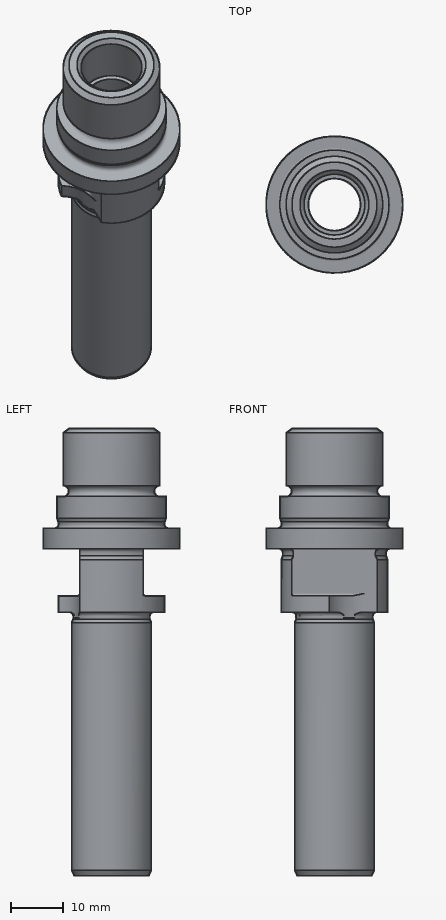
import cadquery as cq
import math

total_length = 85
neck_top = 74.1
collar_top = 72.1
collar_bottom = 67.9
flange_top = 66.05
flange_bottom = 62.1
body_top = 60.1
body_bottom = 50.1
shaft_top = 48.1

head_radius = 9.2
neck_radius = 8.2
neck_foot_radius = 9.0
collar_radius = 10.4
flange_radius = 13.0
body_radius = 10.1
shaft_radius = 7.6

end_chamfer_height = 1.0
end_chamfer_depth = 0.5
head_chamfer_height = 0.85
head_chamfer_depth = 1.1

undercut_depth = 0.25
undercut_fillet = 0.7
undercut_ramp = 0.7

bore_radius = 4.9
counterbore_radius = 5.8
counterbore_depth = 10.2
bore_chamfer = 0.8

flat_distance = 6.0
lip_top = 53.2
lip_fillet = 0.4
runout_start = 5.5
runout_radius = 7.2
runout_bottom = 49.05
cutter_reach = 2 * flange_radius


def add_undercut(outline, shoulder, land_level, land_radius):
    """Draw an undercut from the shoulder face down to the land below it."""
    floor_radius = land_radius - undercut_depth
    fillet_end = shoulder - undercut_fillet
    fillet_inset = undercut_fillet * (1 - math.sqrt(0.5))
    return (
        outline.lineTo(floor_radius + undercut_fillet, shoulder)
        .threePointArc(
            (floor_radius + fillet_inset, shoulder - fillet_inset),
            (floor_radius, fillet_end),
        )
        .lineTo(floor_radius, land_level + undercut_ramp)
        .lineTo(land_radius, land_level)
    )


def add_rising_undercut(outline, land_level, shoulder, land_radius):
    """Draw an undercut from the land down to the shoulder face below it."""
    floor_radius = land_radius - undercut_depth
    fillet_inset = undercut_fillet * (1 - math.sqrt(0.5))
    return (
        outline.lineTo(floor_radius, land_level - undercut_ramp)
        .lineTo(floor_radius, shoulder + undercut_fillet)
        .threePointArc(
            (floor_radius + fillet_inset, shoulder + fillet_inset),
            (floor_radius + undercut_fillet, shoulder),
        )
    )


def make_turned_body():
    """Revolve the outer profile, drawn from the top end to the bottom end."""
    neck_middle = (neck_top + collar_top) / 2
    outline = (
        cq.Workplane("XZ")
        .moveTo(0, total_length)
        .lineTo(head_radius - head_chamfer_depth, total_length)
        .lineTo(head_radius, total_length - head_chamfer_height)
        .lineTo(head_radius, neck_top)
        .threePointArc((neck_radius, neck_middle), (neck_foot_radius, collar_top))
        .lineTo(collar_radius, collar_top)
        .lineTo(collar_radius, collar_bottom)
    )
    outline = add_rising_undercut(outline, collar_bottom, flange_top, collar_radius)
    outline = outline.lineTo(flange_radius, flange_top).lineTo(flange_radius, flange_bottom)
    outline = add_undercut(outline, flange_bottom, body_top, body_radius)
    outline = outline.lineTo(body_radius, body_bottom)
    outline = add_undercut(outline, body_bottom, shaft_top, shaft_radius)
    outline = (
        outline.lineTo(shaft_radius, end_chamfer_height)
        .lineTo(shaft_radius - end_chamfer_depth, 0)
        .lineTo(0, 0)
        .close()
    )
    return outline.revolve(360, (0, 0), (0, 1))


def make_bore():
    """Through bore with a chamfered counterbore at the head."""
    counterbore_floor = total_length - counterbore_depth
    outline = (
        cq.Workplane("XZ")
        .lineTo(bore_radius, 0)
        .lineTo(bore_radius, counterbore_floor)
        .lineTo(counterbore_radius, counterbore_floor)
        .lineTo(counterbore_radius, total_length - bore_chamfer)
        .lineTo(counterbore_radius + bore_chamfer, total_length)
        .lineTo(0, total_length)
        .close()
    )
    return outline.revolve(360, (0, 0), (0, 1))


def make_flat_cutter():
    """Flat on the -Y side and the round runout that ends the lip below it."""
    flat = (
        cq.Workplane("XY")
        .workplane(offset=lip_top)
        .center(0, -flat_distance - cutter_reach / 2)
        .rect(2 * cutter_reach, cutter_reach)
        .extrude(flange_bottom - lip_top)
        .faces("<Z")
        .edges(">Y")
        .fillet(lip_fillet)
    )
    runout_height = flange_bottom - runout_bottom
    mill = (
        cq.Workplane("XY")
        .workplane(offset=runout_bottom)
        .center(runout_start, -flat_distance - runout_radius)
        .circle(runout_radius)
        .extrude(runout_height)
    )
    mill_path = (
        cq.Workplane("XY")
        .workplane(offset=runout_bottom)
        .center(runout_start + cutter_reach / 2, -flat_distance - runout_radius)
        .rect(cutter_reach, 2 * runout_radius)
        .extrude(runout_height)
    )
    return flat.union(mill).union(mill_path)


result = make_turned_body().cut(make_bore())
for angle in (0, 180):
    result = result.cut(make_flat_cutter().rotate((0, 0, 0), (0, 0, 1), angle))